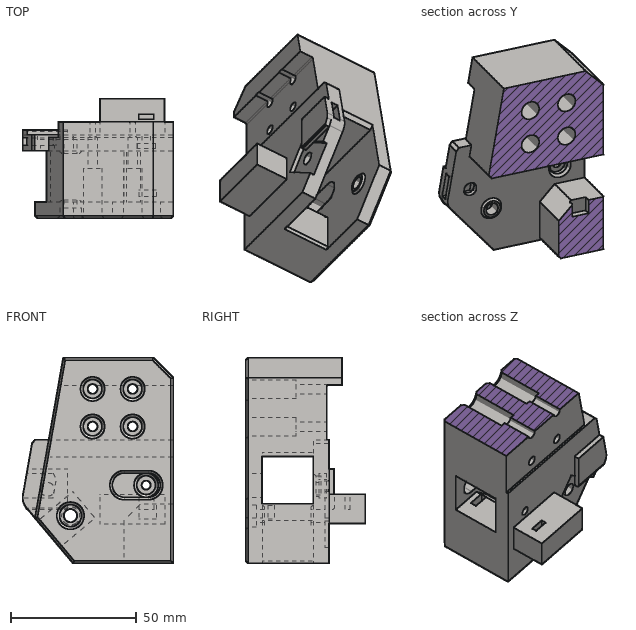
import cadquery as cq
import math


right_x = 60.33
height = 82.32
block_depth = 38.6
wall_lean = 10.0
lower_slope = 50.0
foot_x = 20.2
lower_corner_z = 18.2
top_corner_cut = 8.0
edge_chamfer = 1.0

plate_back_y = 6.6
rear_wall_y = 27.0
rear_back_y = 33.4
upper_back_y = 32.5

rear_top_z = 49.45
overhang_z = 71.3
recess_fillet = 0.6

cavity_top_z = 42.75
cavity_mouth_z = 44.5
web_top_x = 47.1
web_top_z = 23.9
web_slope_z = 17.3
web_foot_chamfer = 1.0

lever_corner_radius = 6.0
lever_chamfer = 1.9

pad_back_y = 35.4
pad_bottom_z = 21.7
pad_top_z = 37.8
pad_chamfer = 0.5
pad_slant_tilt = 16.0
pad_corner_lean = 26.0

nut_hole_diameter = 5.5
nut_hole_x = 9.9
nut_hole_z = 29.7
nut_slot_front_y = 29.3
nut_slot_back_y = 32.2
nut_slot_bottom_z = 26.3
nut_slot_top_z = 36.1
nut_slot_slant_z = 33.7
nut_slot_slant = 26.0

pivot_x = 19.15
pivot_z = 19.1
pivot_diameter = 5.2
pivot_bore_diameter = 8.75
pivot_bore_depth = 4.3
cone_base_diameter = 9.0
cone_tip_diameter = 7.2
cone_height = 0.85
pivot_recess_width = 13.8
pivot_recess_depth = 1.8

screw_xs = (28.0, 44.0)
screw_zs = (54.75, 69.75)
screw_diameter = 3.8
screw_bore_diameter = 7.5
screw_bore_depth = 20.0
hole_chamfer = 1.1

slot_left_x = 40.75
slot_right_x = 50.2
slot_width = 9.7
rear_screw_x = 49.4
rear_screw_z = 31.3
rear_screw_diameter = 3.5
rear_bore_depth = 3.0

tab_left_x = 30.95
tab_right_x = 56.8
tab_bottom_z = 15.9
tab_top_z = 27.7
tab_back_y = 47.95

pit_left_x = 46.55
floor_pit_length = 7.0
tab_pit_length = 6.0
pit_depth = 6.0
floor_pit_y = (8.9, 11.5)
tab_pit_y = (39.6, 41.6)

lean_run = math.tan(math.radians(wall_lean))
lower_rise = math.tan(math.radians(lower_slope))
lower_corner_x = foot_x - lower_corner_z / lower_rise
top_left_x = lower_corner_x + (height - lower_corner_z) * lean_run

overlap = 1.0
beyond_left_x = -overlap
beyond_right_x = right_x + overlap
beyond_back_y = tab_back_y + overlap


def slab(points, front_y, back_y):
    """Prism of an XZ outline between two depths."""
    outline = cq.Workplane("XZ", origin=(0, front_y, 0)).polyline(points).close()
    return outline.extrude(front_y - back_y)


def box(x0, x1, y0, y1, z0, z1):
    """Box between two limits along each axis."""
    return cq.Workplane("XY").box(x1 - x0, y1 - y0, z1 - z0, centered=False).translate((x0, y0, z0))


def cylinder(x, z, diameter, front_y, back_y):
    """Round bar along Y."""
    disc = cq.Workplane("XZ", origin=(x, front_y, z)).circle(diameter / 2)
    return disc.extrude(front_y - back_y)


def cone(x, z, start_diameter, end_diameter, start_y, end_y):
    """Truncated cone along Y."""
    direction = cq.Vector(0, end_y - start_y, 0)
    solid = cq.Solid.makeCone(
        start_diameter / 2,
        end_diameter / 2,
        abs(end_y - start_y),
        cq.Vector(x, start_y, z),
        direction,
    )
    return cq.Workplane(obj=solid)


def wall_x(z):
    """X of the leaning left wall at a height."""
    return lower_corner_x + (z - lower_corner_z) * lean_run


def make_block():
    """Solid block with a chamfered rim around its front face."""
    outline = [
        (foot_x, 0),
        (right_x, 0),
        (right_x, height - top_corner_cut),
        (right_x - top_corner_cut, height),
        (top_left_x, height),
        (lower_corner_x, lower_corner_z),
    ]
    body = slab(outline, edge_chamfer, block_depth)
    rim = cq.Workplane("XZ", origin=(0, edge_chamfer, 0)).polyline(outline).close()
    return body.union(rim.extrude(edge_chamfer, taper=45))


def back_recess():
    """Space behind the block below its top overhang, stepped at the rear wall's top."""
    upper = box(beyond_left_x, beyond_right_x, upper_back_y, beyond_back_y, rear_top_z, overhang_z)
    upper = upper.edges("|X and <Y and >Z").fillet(recess_fillet)
    lower = box(beyond_left_x, beyond_right_x, rear_back_y, beyond_back_y, 0, rear_top_z)
    return upper.union(lower)


def cavity():
    """Opening from the lower left, running through to the right side above the web."""
    web_wall_x = web_top_x - (web_top_z - web_slope_z)
    mouth_x = wall_x(cavity_mouth_z)
    ceiling_x = mouth_x + (cavity_mouth_z - cavity_top_z) / lower_rise
    outline = [
        (beyond_left_x, 0),
        (web_wall_x + web_foot_chamfer, 0),
        (web_wall_x, web_foot_chamfer),
        (web_wall_x, web_slope_z),
        (web_top_x, web_top_z),
        (beyond_right_x, web_top_z),
        (beyond_right_x, cavity_top_z),
        (ceiling_x, cavity_top_z),
        (mouth_x, cavity_mouth_z),
        (beyond_left_x, cavity_mouth_z),
    ]
    return slab(outline, plate_back_y, rear_wall_y)


def corner_point(tilt):
    """Point on the rounded lever corner whose outward normal is tilted up by an angle.

    The corner's arc touches X = 0 and runs into the lower-left face.
    """
    lower_tilt = math.radians(90 - lower_slope)
    centre_x = lever_corner_radius
    reach = (foot_x - centre_x) * math.cos(lower_tilt) + lever_corner_radius
    centre_z = reach / math.sin(lower_tilt)
    angle = math.radians(tilt)
    x = centre_x - lever_corner_radius * math.cos(angle)
    z = centre_z + lever_corner_radius * math.sin(angle)
    return x, z


def lever_wall_x(z):
    """X of the lever's left face, parallel to the left wall, at a height."""
    start_x, start_z = corner_point(wall_lean)
    return start_x + (z - start_z) * lean_run


def make_lever():
    """Plate standing out from the rear wall, with a rounded lower corner."""
    chamfer_z = rear_top_z - lever_chamfer * math.sin(math.radians(lower_slope))
    chamfer_run = lever_chamfer * math.cos(math.radians(lower_slope))
    chamfer_x = lever_wall_x(chamfer_z)
    outline = (
        cq.Workplane("XZ", origin=(0, rear_wall_y, 0))
        .moveTo(foot_x, 0)
        .lineTo(*corner_point(lower_slope - 90))
        .threePointArc(corner_point(0), corner_point(wall_lean))
        .lineTo(chamfer_x, chamfer_z)
        .lineTo(chamfer_x + chamfer_run, rear_top_z)
        .lineTo(wall_x(rear_top_z) + overlap, rear_top_z)
        .lineTo(foot_x + overlap, 0)
        .close()
    )
    return outline.extrude(rear_wall_y - rear_back_y)


def make_pad():
    """Raised pad around the nut hole, flush with the left face of the lever."""
    slant_x, slant_z = corner_point(-pad_slant_tilt)
    slant_run = (slant_z - pad_bottom_z) * math.tan(math.radians(pad_corner_lean))
    pad_right_x = 2 * nut_hole_x - lever_wall_x(pad_top_z)
    outline = (
        cq.Workplane("XZ", origin=(0, rear_back_y, 0))
        .moveTo(slant_x + slant_run, pad_bottom_z)
        .lineTo(slant_x, slant_z)
        .threePointArc(corner_point(0), corner_point(wall_lean))
        .lineTo(lever_wall_x(pad_top_z), pad_top_z)
        .lineTo(pad_right_x, pad_top_z)
        .lineTo(pad_right_x, pad_bottom_z)
        .close()
    )
    pad = outline.extrude(rear_back_y - pad_back_y)
    return pad.faces("<Z").edges(">Y").chamfer(pad_chamfer)


def make_tab():
    """Square tab on the back of the rear wall."""
    return box(tab_left_x, tab_right_x, rear_wall_y, tab_back_y, tab_bottom_z, tab_top_z)


def pivot_cones():
    """Spacer cones around the pivot on the facing walls of the cavity."""
    front_tip_y = plate_back_y + cone_height
    rear_tip_y = rear_wall_y - cone_height
    diameters = (cone_base_diameter, cone_tip_diameter)
    front = cone(pivot_x, pivot_z, *diameters, plate_back_y, front_tip_y)
    rear = cone(pivot_x, pivot_z, *diameters, rear_wall_y, rear_tip_y)
    return front.union(rear)


def bored_hole(x, z, diameter, bore_diameter, front_y, bore_depth):
    """Through hole with a counterbore whose mouth is chamfered."""
    through = cylinder(x, z, diameter, front_y, block_depth)
    bore = cylinder(x, z, bore_diameter, front_y, front_y + bore_depth)
    mouth_diameter = bore_diameter + 2 * hole_chamfer
    mouth = cone(x, z, mouth_diameter, bore_diameter, front_y, front_y + hole_chamfer)
    return through.union(bore).union(mouth)


def adjusting_slot():
    """Round-ended slot through the front plate, with a chamfered mouth."""
    length = slot_right_x - slot_left_x + slot_width
    centre_x = (slot_left_x + slot_right_x) / 2
    plane = cq.Workplane("XZ", origin=(centre_x, plate_back_y, rear_screw_z))
    channel = plane.slot2D(length, slot_width).extrude(plate_back_y)
    widening = 2 * edge_chamfer
    front = cq.Workplane("XZ", origin=(centre_x, 0, rear_screw_z))
    mouth = front.slot2D(length + widening, slot_width + widening).extrude(-edge_chamfer, taper=45)
    return channel.union(mouth)


def nut_pocket():
    """Slot for a nut, entered from the left face, with a round hole from the front."""
    end_x = nut_hole_x + nut_hole_diameter / 2
    slant_z = nut_slot_slant_z
    slant_x = end_x + (slant_z - nut_hole_z) * lean_run
    slant_run = (nut_slot_top_z - slant_z) * math.tan(math.radians(nut_slot_slant))
    outline = [
        (beyond_left_x, nut_slot_bottom_z),
        (end_x - (nut_hole_z - nut_slot_bottom_z) * lean_run, nut_slot_bottom_z),
        (slant_x, slant_z),
        (slant_x - slant_run, nut_slot_top_z),
        (beyond_left_x, nut_slot_top_z),
    ]
    slot = slab(outline, nut_slot_front_y, nut_slot_back_y)
    hole = cylinder(nut_hole_x, nut_hole_z, nut_hole_diameter, rear_wall_y, nut_slot_front_y)
    return slot.union(hole)


def pivot_recess():
    """Shallow square-ended recess from the lower-left face to just past the pivot, at the back."""
    past_pivot = pivot_recess_width / 2
    before_pivot = math.hypot(pivot_x, pivot_z)
    recess = box(-before_pivot, past_pivot, rear_back_y - pivot_recess_depth, rear_back_y,
                 -pivot_recess_width / 2, pivot_recess_width / 2)
    turned = recess.rotate((0, 0, 0), (0, 1, 0), lower_slope - 90)
    return turned.translate((pivot_x, 0, pivot_z))


def nut_pit(depths, length, top_z):
    """Rectangular pit sunk down from a horizontal face."""
    front_y, back_y = depths
    return box(pit_left_x, pit_left_x + length, front_y, back_y, top_z - pit_depth, top_z)


def make_holes():
    """All round counterbored holes: the screw grid, the pivot and the rear screw."""
    holes = bored_hole(pivot_x, pivot_z, pivot_diameter, pivot_bore_diameter, 0, pivot_bore_depth)
    for x in screw_xs:
        for z in screw_zs:
            screw = bored_hole(x, z, screw_diameter, screw_bore_diameter, 0, screw_bore_depth)
            holes = holes.union(screw)
    rear_screw = bored_hole(
        rear_screw_x,
        rear_screw_z,
        rear_screw_diameter,
        screw_bore_diameter,
        rear_wall_y,
        rear_bore_depth,
    )
    return holes.union(rear_screw)


result = make_block().cut(back_recess()).cut(cavity())
for addition in (make_lever(), make_pad(), make_tab(), pivot_cones()):
    result = result.union(addition)

cuts = (
    make_holes(),
    adjusting_slot(),
    nut_pocket(),
    pivot_recess(),
    nut_pit(floor_pit_y, floor_pit_length, web_top_z),
    nut_pit(tab_pit_y, tab_pit_length, tab_top_z),
)
for cutter in cuts:
    result = result.cut(cutter)
result = result.solids()